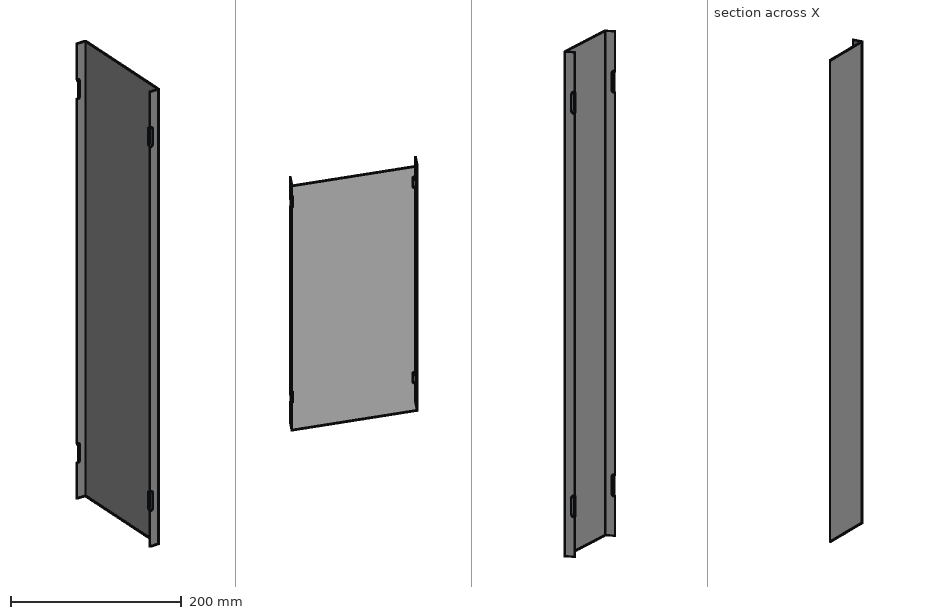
import cadquery as cq
import math

width = 150.0
depth = 12.5
height = 600.0
sheet = 0.8

catch_from_end = 60.0
catch_length = 26.5
catch_reach = 4.0
catch_inset = 3.0
catch_tip_reach = 2.0
catch_taper = math.degrees(math.atan((catch_reach - catch_tip_reach) / catch_inset))

free_edge = -depth / 2


def make_channel():
    """U-shaped sheet channel, open toward -Y, centred on the origin."""
    body = cq.Workplane("XY").box(width, depth, height)
    cavity = (
        cq.Workplane("XY")
        .box(width - 2 * sheet, depth - sheet, height)
        .translate((0, -sheet / 2, 0))
    )
    return body.cut(cavity)


def tapered_slot(face_x, catch_z):
    """Round-ended slot centred on the free edge, narrowing inward from face_x."""
    return (
        cq.Workplane("YZ", origin=(face_x, free_edge, catch_z))
        .slot2D(catch_length, 2 * catch_reach, 90)
        .extrude(catch_inset, taper=catch_taper)
    )


def press_catch(channel, catch_z, mirrored):
    """Form one catch on the -X flange, or on the +X flange when mirrored."""
    outer_face = -width / 2
    envelope = cq.Workplane("XY").box(width, depth, height)
    bump = tapered_slot(outer_face + sheet, catch_z).intersect(envelope)
    hollow = tapered_slot(outer_face, catch_z)
    if mirrored:
        bump = bump.mirror("YZ")
        hollow = hollow.mirror("YZ")
    return channel.union(bump).cut(hollow)


result = make_channel()
for end in (-1, 1):
    for mirrored in (False, True):
        result = press_catch(result, end * (height / 2 - catch_from_end), mirrored)